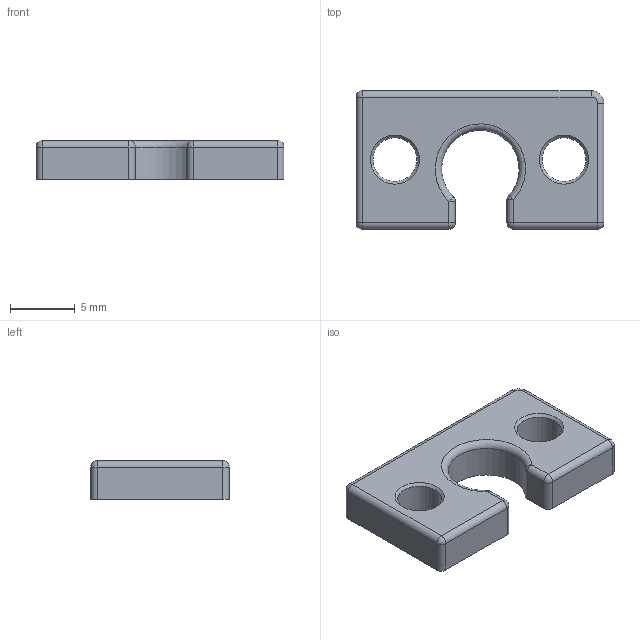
import cadquery as cq

length = 19.21
width = 10.74
thickness = 3.0
edge_radius = 0.5
large_corner_radius = 1.0

bore_diameter = 6.0
bore_x = 0.03
bore_y = -0.70
neck_width = 4.0
neck_x = 0.09

hole_diameter = 3.4
hole_spacing = 13.1
hole_pair_x = -0.04
hole_y = 0.03
hole_chamfer = 0.2

half_length = length / 2
half_width = width / 2


def make_plate():
    """Plate with its back right corner rounded to the larger radius."""
    plate = cq.Workplane("XY").box(length, width, thickness, centered=(True, True, False))
    return plate.edges("|Z and >X and >Y").fillet(large_corner_radius)


def cut_keyhole(plate):
    """Cut the bore and its open neck through the plate."""
    bore = cq.Workplane("XY").center(bore_x, bore_y).circle(bore_diameter / 2).extrude(thickness)
    neck_length = bore_y + half_width
    neck_y = (bore_y - half_width) / 2
    neck = (
        cq.Workplane("XY")
        .center(neck_x, neck_y)
        .rect(neck_width, neck_length)
        .extrude(thickness)
    )
    return plate.cut(bore.union(neck))


def round_edges(body):
    """Round the sharp upright corners and the whole top rim in one blend."""
    back_left_corner = cq.selectors.NearestToPointSelector((-half_length, half_width, thickness / 2))
    back_left_edge = body.edges("|Z").edges(back_left_corner)
    front_zone = cq.selectors.BoxSelector(
        (-length, -width, -thickness),
        (length, bore_y - edge_radius, 2 * thickness),
    )
    front_edges = body.edges("|Z").edges(front_zone)
    rim = body.faces(">Z").edges()
    return body.newObject(back_left_edge.vals() + front_edges.vals() + rim.vals()).fillet(edge_radius)


def cut_screw_holes(body):
    """Drill the two through holes and chamfer their top edges."""
    hole_radius = hole_diameter / 2
    for side in (-1, 1):
        hole_x = hole_pair_x + side * hole_spacing / 2
        profile = (
            cq.Workplane("XZ", origin=(hole_x, hole_y, 0))
            .moveTo(0, 0)
            .lineTo(hole_radius, 0)
            .lineTo(hole_radius, thickness - hole_chamfer)
            .lineTo(hole_radius + hole_chamfer, thickness)
            .lineTo(0, thickness)
            .close()
        )
        body = body.cut(profile.revolve(360, (0, 0), (0, 1)))
    return body


result = cut_screw_holes(round_edges(cut_keyhole(make_plate())))